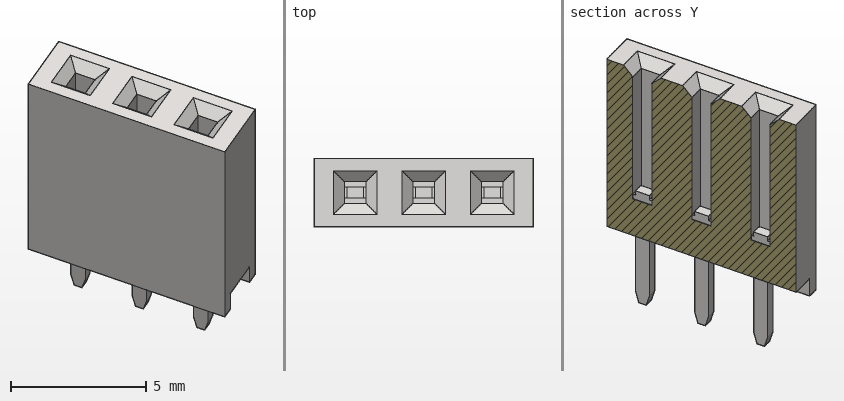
import cadquery as cq

length = 8.12
width = 2.54
total_height = 10.7

housing_height = 8.51
channel_width = 1.58
channel_depth = 0.8

contact_count = 3
pitch = 2.54

mouth_size = 1.6
hole_size = 0.8
mouth_depth = 0.4
hole_depth = 6.0

pin_width = 0.6
pin_thickness = 0.4
tip_width = 0.32
tip_length = 0.48

rib_height = 0.2
pin_rise = 0.4

hole_floor = housing_height - hole_depth
pin_bottom = housing_height - total_height
pin_top = hole_floor + pin_rise


def box_from(size_x, size_y, bottom, top):
    """Box centred on the z axis between two heights."""
    return (
        cq.Workplane("XY", origin=(0, 0, bottom))
        .rect(size_x, size_y)
        .extrude(top - bottom)
    )


def make_housing():
    """Block with a channel running along its underside."""
    block = box_from(length, width, 0, housing_height)
    return block.cut(box_from(length, channel_width, 0, channel_depth))


def make_socket():
    """Space removed for one contact."""
    mouth = (
        cq.Workplane("XY", origin=(0, 0, housing_height))
        .rect(mouth_size, mouth_size)
        .workplane(offset=-mouth_depth)
        .rect(hole_size, hole_size)
        .loft(ruled=True)
    )
    return mouth.union(box_from(hole_size, hole_size, hole_floor, housing_height - mouth_depth))


def make_pin():
    """Flat pin tapering in width at its lower end."""
    tip_start = pin_bottom + tip_length
    return (
        cq.Workplane("XZ")
        .moveTo(-tip_width / 2, pin_bottom)
        .lineTo(tip_width / 2, pin_bottom)
        .lineTo(pin_width / 2, tip_start)
        .lineTo(pin_width / 2, pin_top)
        .lineTo(-pin_width / 2, pin_top)
        .lineTo(-pin_width / 2, tip_start)
        .close()
        .extrude(pin_thickness / 2, both=True)
    )


socket = make_socket()
rib = box_from(hole_size, pin_thickness, hole_floor, hole_floor + rib_height)
contact = make_pin().union(rib)

result = make_housing()
for index in range(contact_count):
    x = (index - (contact_count - 1) / 2) * pitch
    result = result.cut(socket.translate((x, 0, 0)))
    result = result.union(contact.translate((x, 0, 0)))